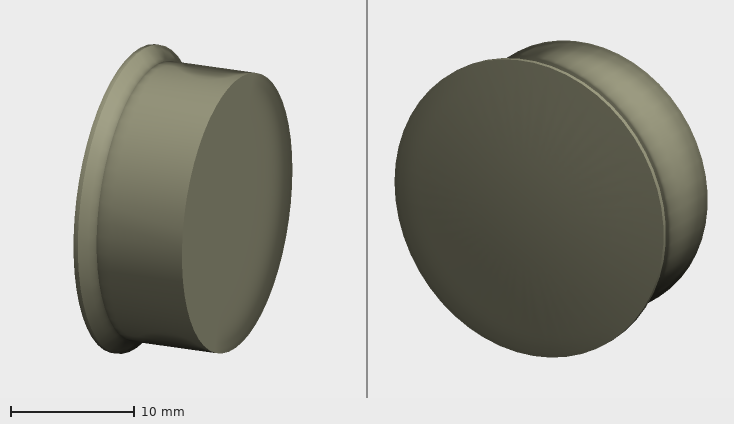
import cadquery as cq

total_length = 10.0
rim_radius = 12.67
body_radius = 11.5
dome_height = 0.95
rim_width = 0.38
flare_length = rim_radius - body_radius

rim_front = dome_height
rim_back = rim_front + rim_width
body_front = rim_back + flare_length

dome_radius = (rim_radius**2 + dome_height**2) / (2 * dome_height)
mid_radius = rim_radius / 2
mid_depth = dome_radius - (dome_radius**2 - mid_radius**2) ** 0.5

profile = (
    cq.Workplane("XY")
    .moveTo(0, 0)
    .threePointArc((mid_depth, mid_radius), (rim_front, rim_radius))
    .lineTo(rim_back, rim_radius)
    .lineTo(body_front, body_radius)
    .lineTo(total_length, body_radius)
    .lineTo(total_length, 0)
    .close()
)

result = profile.revolve(360, (0, 0, 0), (1, 0, 0))